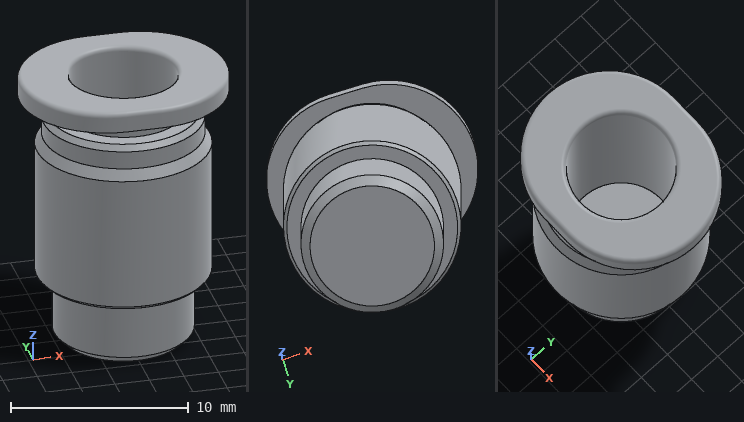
import cadquery as cq

total_height = 16.5
shoulder_height = 4.0
body_cone_start = 12.1
collar_start = 12.7
collar_top = 14.1
flange_thickness = 1.2
flange_bottom = total_height - flange_thickness

stem_radius = 4.01
body_radius = 5.0
collar_radius = 4.6
neck_radius = 3.45
bore_radius = 3.09

stem_chamfer = 0.51
body_chamfer = 0.2
collar_chamfer_width = 0.3
collar_chamfer_height = 0.33
rim_fillet = 0.3
neck_fillet = 0.1

flange_length = 12.0
flange_width = 2 * body_radius

bore_depth = total_height - shoulder_height


def make_body():
    """Revolve the stem, main barrel, collar and neck around Z."""
    profile = [
        (0, 0),
        (stem_radius - stem_chamfer, 0),
        (stem_radius, stem_chamfer),
        (stem_radius, shoulder_height),
        (body_radius - body_chamfer, shoulder_height),
        (body_radius, shoulder_height + body_chamfer),
        (body_radius, body_cone_start),
        (collar_radius, collar_start),
        (collar_radius, collar_top - collar_chamfer_height),
        (collar_radius - collar_chamfer_width, collar_top),
        (neck_radius, collar_top),
        (neck_radius, flange_bottom),
        (0, flange_bottom),
    ]
    return cq.Workplane("XZ").polyline(profile).close().revolve(360, (0, 0), (0, 1))


def make_flange():
    """Obround plate with a rounded upper rim."""
    plate = (
        cq.Workplane("XY", origin=(0, 0, flange_bottom))
        .slot2D(flange_length, flange_width)
        .extrude(flange_thickness)
    )
    return plate.faces(">Z").edges().fillet(rim_fillet)


def cut_bore(solid):
    """Cut the blind bore and round its mouth."""
    bored = solid.cut(
        cq.Workplane("XY", origin=(0, 0, total_height - bore_depth))
        .circle(bore_radius)
        .extrude(bore_depth)
    )
    mouth = bored.faces(">Z").edges(cq.selectors.RadiusNthSelector(0))
    return mouth.fillet(rim_fillet)


def round_neck_corner(solid):
    """Fillet the inside corner where the neck meets the flange underside."""
    reach = neck_radius + neck_fillet
    corner = cq.selectors.BoxSelector(
        (-reach, -reach, flange_bottom - neck_fillet),
        (reach, reach, flange_bottom + neck_fillet),
        boundingbox=True,
    )
    return solid.edges(corner).fillet(neck_fillet)


result = cut_bore(round_neck_corner(make_body().union(make_flange())))